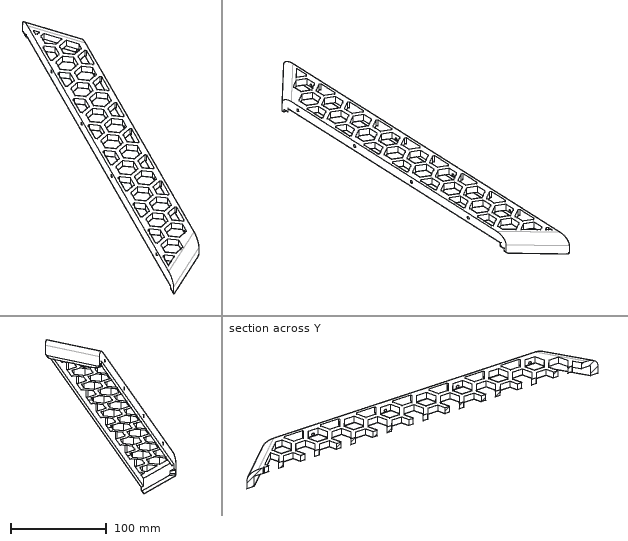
import cadquery as cq
import math

LENGTH = 431.72
DEPTH = 46.8
HEIGHT = 21.0
HALF_LENGTH = LENGTH / 2
HALF_DEPTH = DEPTH / 2
END_RADIUS = 10.0

PLATE_THICKNESS = 8.0
FRONT_SKIRT_BOTTOM = 4.5
BACK_SKIRT_BOTTOM = 9.0
SKIRT_THICKNESS = 3.2
END_WALL_THICKNESS = 6.4
FOOT_LENGTH = 50.0
FOOT_CHAMFER = 1.3

HEX_FLATS = 20.0
HEX_PITCH = 24.75
COLUMN_STEP = HEX_PITCH * math.sqrt(3) / 2
ROW_STEP = HEX_PITCH / 2
FIRST_COLUMN_X = -197.7
COLUMN_COUNT = 19
UNTRIMMED_COLUMN = 17
FRONT_CELL_TURN = 1.0
FRONT_ROW_Y = -18.4
END_RIM = 4.0
GRILLE_END_MARGIN = END_RADIUS + END_RIM

SCREW_DIAMETER = 3.0
SCREW_Z = 15.0
FRONT_SCREW_COLUMNS = (3, 7, 11, 17)
BACK_SCREW_COLUMNS = (4, 8, 12, 16)


def column_x(column):
    return FIRST_COLUMN_X + column * COLUMN_STEP


def trapezoid(end_inset, side_inset, bottom, top):
    """Prism with the body's plan outline moved inwards; end_inset is square to the slanted ends."""
    y = HALF_DEPTH - side_inset
    front_x = HALF_LENGTH - side_inset - end_inset * math.sqrt(2)
    back_x = front_x - 2 * y
    outline = [(-front_x, -y), (front_x, -y), (back_x, y), (-back_x, y)]
    return cq.Workplane("XY").workplane(offset=bottom).polyline(outline).close().extrude(top - bottom)


def hexagon(x, y, turn=0):
    plate_bottom = HEIGHT - PLATE_THICKNESS
    corners_diameter = HEX_FLATS * 2 / math.sqrt(3)
    return (
        cq.Workplane("XY")
        .workplane(offset=plate_bottom)
        .center(x, y)
        .transformed(rotate=(0, 0, turn))
        .polygon(6, corners_diameter)
        .extrude(PLATE_THICKNESS)
    )


def shell():
    """Rounded block, hollow below the plate, standing on its two slanted ends."""
    block = trapezoid(0, 0, 0, HEIGHT)
    slanted_top_edges = block.faces(">Z").edges("not(|X)")
    block = slanted_top_edges.fillet(END_RADIUS)
    cavity = trapezoid(END_WALL_THICKNESS, SKIRT_THICKNESS, 0, HEIGHT - PLATE_THICKNESS)
    below_skirt = trapezoid(END_WALL_THICKNESS, 0, 0, FRONT_SKIRT_BOTTOM)
    back_opening = trapezoid(END_WALL_THICKNESS, 0, 0, BACK_SKIRT_BOTTOM)
    back_half = cq.Workplane("XY").box(LENGTH, HALF_DEPTH, HEIGHT, centered=(True, False, False))
    between_feet = cq.Workplane("XY").box(
        LENGTH - 2 * FOOT_LENGTH, DEPTH, FRONT_SKIRT_BOTTOM, centered=(True, True, False)
    )
    hollow = block.cut(cavity).cut(below_skirt).cut(back_opening.intersect(back_half)).cut(between_feet)
    return hollow.faces("<Z").edges("|X or |Y").chamfer(FOOT_CHAMFER)


def cell(column, row):
    """One honeycomb opening; odd columns sit half a pitch further back."""
    staggered = column % 2
    y = FRONT_ROW_Y + staggered * ROW_STEP + row * HEX_PITCH
    turn = FRONT_CELL_TURN if staggered and row == 0 else 0
    return hexagon(column_x(column), y, turn)


def honeycomb():
    """Hexagons in staggered columns, trimmed to the margin of the plate."""
    cells = cq.Workplane("XY")
    for column in range(COLUMN_COUNT):
        rows = (0,) if column == UNTRIMMED_COLUMN else (0, 1)
        for row in rows:
            cells = cells.add(cell(column, row))
    window = trapezoid(GRILLE_END_MARGIN, SKIRT_THICKNESS, HEIGHT - PLATE_THICKNESS, HEIGHT)
    trimmed = window.intersect(cells.combine())
    return trimmed.union(cell(UNTRIMMED_COLUMN, 0))


def screw_holes(columns, wall_y, inward):
    """Holes along Y through the rim, ending at the centre of each column's whole hexagon."""
    length = HALF_DEPTH - ROW_STEP / 2
    points = [(column_x(column), SCREW_Z) for column in columns]
    return (
        cq.Workplane("XZ", origin=(0, wall_y, 0))
        .pushPoints(points)
        .circle(SCREW_DIAMETER / 2)
        .extrude(-inward * length)
    )


result = (
    shell()
    .cut(honeycomb())
    .cut(screw_holes(FRONT_SCREW_COLUMNS, -HALF_DEPTH, 1))
    .cut(screw_holes(BACK_SCREW_COLUMNS, HALF_DEPTH, -1))
)